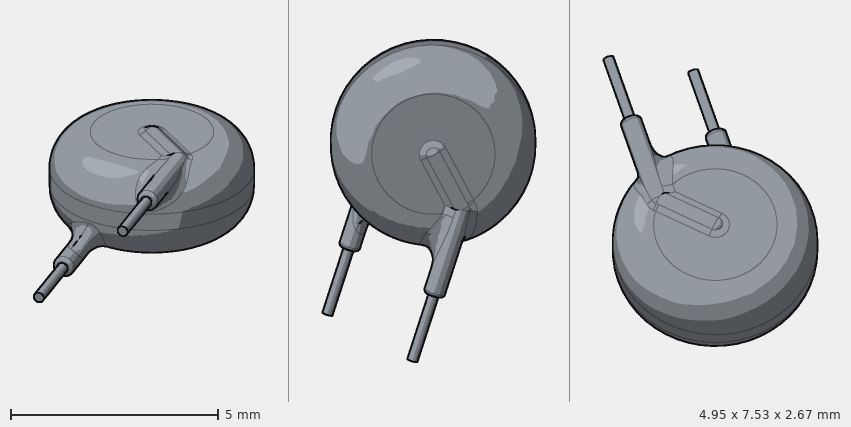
import cadquery as cq

body_diameter = 4.95
body_height = 2.41
body_rounding = 0.985

coat_diameter = 0.52
wire_diameter = 0.26
lead_offset = 1.075
coat_end_y = -3.36
wire_end_y = -5.055
coat_end_rounding = 0.1
face_blend_radius = 0.25
rim_blend_radius = 0.5

coat_radius = coat_diameter / 2
outward = cq.Vector(0, -1, 0)
contact_tolerance = 1e-4
edge_samples = (0.1, 0.5, 0.9)


def make_body():
    base = cq.Workplane("XY").workplane(offset=-body_height / 2)
    disc = base.circle(body_diameter / 2).extrude(body_height)
    return disc.edges().fillet(body_rounding)


def rod(start, direction, length, diameter):
    return cq.Workplane(cq.Solid.makeCylinder(diameter / 2, length, start, direction))


def ball(center):
    return cq.Workplane("XY").sphere(coat_radius).translate(center)


def make_coat():
    """Coating from the face centre out to the bend, then along -Y past the rim."""
    inner_end = cq.Vector(0, 0, lead_offset)
    bend = cq.Vector(lead_offset, -lead_offset, lead_offset)
    diagonal = bend - inner_end
    diagonal_rod = rod(inner_end, diagonal, diagonal.Length, coat_diameter)
    straight_rod = rod(bend, outward, -lead_offset - coat_end_y, coat_diameter)
    straight_rod = straight_rod.faces("<Y").edges().fillet(coat_end_rounding)
    return diagonal_rod.union(straight_rod).union(ball(inner_end)).union(ball(bend))


def make_wire():
    start = cq.Vector(lead_offset, coat_end_y, lead_offset)
    return rod(start, outward, coat_end_y - wire_end_y, wire_diameter)


def half_turn(shape):
    """Turn a lead about Y to place it on the opposite face."""
    return shape.rotate((0, 0, 0), (0, 1, 0), 180)


def touches_skin(edge, part):
    """True where the whole edge lies on the outer skin of the part."""
    skin = part.val().Shells()[0]
    points = [edge.positionAt(fraction) for fraction in edge_samples]
    gaps = [skin.distance(cq.Vertex.makeVertex(*point.toTuple())) for point in points]
    return max(gaps) < contact_tolerance


def blend_coats(body, coats):
    """Join the coatings to the body and fillet the seams between them."""
    joined = body
    for coat in coats:
        joined = joined.union(coat)
    body_edges = [edge for edge in joined.edges().vals() if touches_skin(edge, body)]
    seams = [edge for edge in body_edges if any(touches_skin(edge, coat) for coat in coats)]
    blend = cq.occ_impl.shapes.BRepFilletAPI_MakeFillet(joined.val().wrapped)
    for seam in seams:
        beyond_bend = seam.Center().y < -lead_offset
        radius = rim_blend_radius if beyond_bend else face_blend_radius
        blend.Add(radius, seam.wrapped)
    return cq.Workplane(cq.Shape.cast(blend.Shape()))


top_coat = make_coat()
top_wire = make_wire()
blended = blend_coats(make_body(), [top_coat, half_turn(top_coat)])
result = blended.union(top_wire).union(half_turn(top_wire))